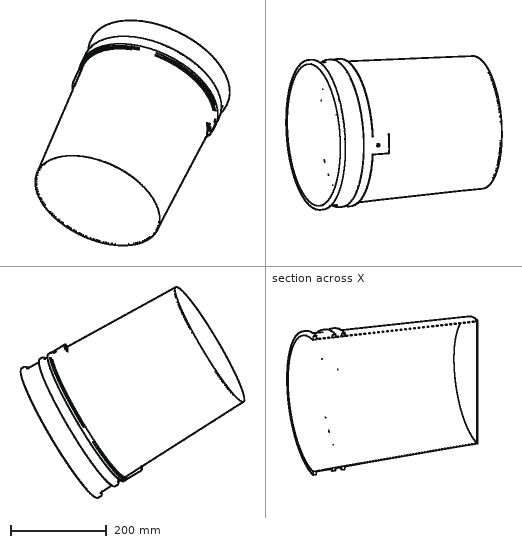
import cadquery as cq
import math

height = 368.3
base_radius = 139.5
mouth_radius = 151.5
wall = 2.5
slope = (mouth_radius - base_radius) / height

rim_radius = 157.5
rim_width = 8.5
ring_radius = 155.0
ring_width = 8.0
upper_ring_depth = 43.0
lower_ring_depth = 64.0
edge_round = 1.5
collar_round = 2.0
root_round = 1.5

lug_half_width = 20.0
lug_end_depth = 108.5
hole_diameter = 6.0
hole_depth = 5.0
hole_from_mouth = 83.2

sample_place = 0.3
tolerance = 0.005


def turned(bottom_y, top_y, bottom_radius, top_radius):
    """A solid cone or cylinder on the Y axis."""
    outline = [(0, bottom_y), (bottom_radius, bottom_y), (top_radius, top_y), (0, top_y)]
    return cq.Workplane("ZY").polyline(outline).close().revolve(360, (0, 0), (0, 1))


def disc(radius, depth, width):
    """A disc whose upper face is `depth` below the mouth."""
    top_y = height - depth
    return turned(top_y - width, top_y, radius, radius)


def rounded_disc(radius, depth, width):
    """A disc with both outer edges rounded."""
    return disc(radius, depth, width).edges("%CIRCLE").fillet(edge_round)


def is_seam(edge):
    """True for the lengthwise line at x = 0 where a turned surface closes on itself."""
    return edge.geomType() == "LINE" and abs(edge.Center().x) < tolerance


def edges_at_radius(body, radius_at):
    """The edges lying at distance radius_at(y) from the Y axis, without the seams."""
    found = []
    for edge in body.edges().vals():
        point = edge.positionAt(sample_place)
        distance = math.hypot(point.x, point.z)
        if abs(distance - radius_at(point.y)) < tolerance and not is_seam(edge):
            found.append(edge)
    return found


def wall_radius(y):
    """The outer radius of the tapered wall at height y."""
    return base_radius + slope * y


def lug_collar():
    """The lower ring and both lugs as one piece, solid to the axis, with a rounded outer outline."""
    ring = disc(ring_radius, lower_ring_depth, ring_width)
    reach = lug_end_depth - lower_ring_depth
    strip = cq.Workplane("XY").box(2 * ring_radius, reach, 2 * lug_half_width)
    strip = strip.translate((0, height - lower_ring_depth - reach / 2, 0))
    lugs = strip.intersect(disc(ring_radius, lower_ring_depth, reach))
    collar = ring.union(lugs).clean()
    outer_edges = edges_at_radius(collar, lambda y: ring_radius)
    return collar.newObject(outer_edges).fillet(collar_round)


def round_roots(body):
    """Fillet the corners where the rings and lugs meet the tapered wall."""
    roots = [edge for edge in edges_at_radius(body, wall_radius) if edge.Center().y > tolerance]
    return body.newObject(roots).fillet(root_round)


def lug_hole(side):
    """The blind bail hole in the lug on the given side of X (+1 or -1)."""
    floor_x = side * (ring_radius - hole_depth)
    floor = cq.Workplane("YZ", origin=(floor_x, height - hole_from_mouth, 0))
    return floor.circle(hole_diameter / 2).extrude(side * 2 * hole_depth)


def cavity():
    """The tapered inside of the pail, leaving the wall and the base equally thick."""
    radial_wall = wall * math.hypot(1, slope)
    return turned(wall, height, wall_radius(wall) - radial_wall, mouth_radius - radial_wall)


def pail_body():
    """The whole pail: wall, rim, rings and lugs, then the bail holes and the inside."""
    body = turned(0, height, base_radius, mouth_radius)
    body = body.union(rounded_disc(rim_radius, 0, rim_width))
    body = body.union(rounded_disc(ring_radius, upper_ring_depth, ring_width))
    body = body.union(lug_collar())
    body = round_roots(body)
    for side in (-1, 1):
        body = body.cut(lug_hole(side))
    return body.cut(cavity())


pail = pail_body()
result = cq.Compound.makeCompound([pail.val()])